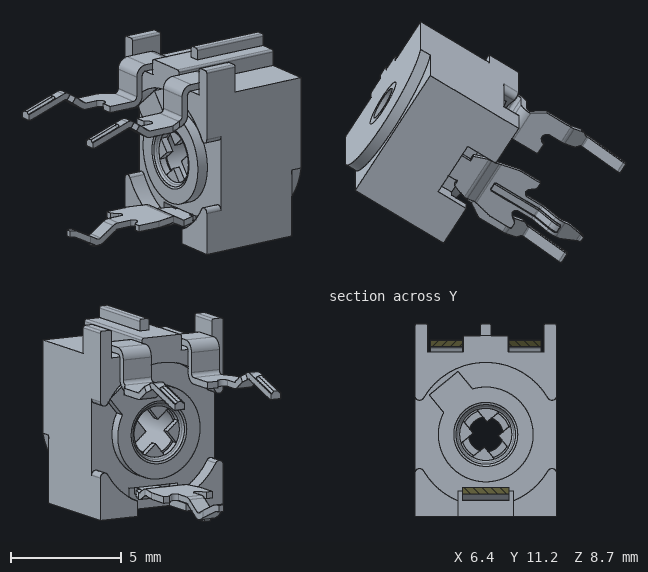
import cadquery as cq
import math


width = 6.4
half_width = width / 2
depth = 5.22
front_y = -depth
floor_z = 7.43
top_z = 8.7
edge_radius = 0.1

ridge_width = 2.05
ridge_top_z = 8.16
rib_width = 0.49
rib_length = 3.65
post_width = 0.59
post_depth = 1.57

axis_z = 3.71
recess_radius = 3.25
recess_depth = 0.78
recess_floor_y = front_y + recess_depth
recess_lip_radius = 0.21
rear_disc_thickness = 0.52
rear_disc_top_z = 3.14

slot_width = 2.52
slot_depth = 1.5
slot_height = 1.16

rotor_radius = 2.14
rotor_thickness = 0.53
countersink_radius = 1.45
countersink_steps = [(1.34, 0.03), (1.27, 0.13), (1.18, 0.2)]
cross_angle = 39.4
cross_arm_width = 0.8
cross_radius = 1.19
pointer_half_width = 0.84
pointer_reach = 2.99

bore_radius = 1.1
contact_hole_radius = 0.77
contact_thickness = rear_disc_thickness

sheet = 0.3
half_sheet = sheet / 2
sharp_bend = 0.17
terminal_bend = 0.34
stiffener_half_width = 0.21
stiffener_height = 0.1
stiffener_side_angle = 45
stiffener_chamfer = 0.06

outer_inner_x = 1.04
outer_strip_x = 2.5
outer_leg_half_width = 0.41
outer_tip_half_width = 0.26
outer_plate_z = 6.19
outer_top_z = 7.81
outer_rear_y = -3.95
outer_drop_y = -5.94
outer_bend = 0.35
outer_peak_bend = 0.22
outer_kink_y = -8.22
outer_rise_angle = 35
outer_peak_y = -9.13
outer_fall_angle = 18
outer_end_y = -11.2
outer_plate_front_y = -7.56
outer_notch_radius = 0.25
outer_flare_start_y = -6.24
outer_flare_end_y = -6.89
outer_taper_start = 0.72
outer_taper_length = 0.24
outer_stiffener_start_y = -9.59

centre_half_width = 1.04
centre_neck_half_width = 0.56
centre_rear_half_width = 0.81
centre_neck_y = -4.3
centre_widening_y = -4.94
shoulder_half_width = 1.27
centre_leg_half_width = 0.39
centre_tip_half_width = 0.12
centre_rear_z = 0.87
centre_plate_z = 1.16
centre_valley_z = 0.55
centre_path = [
    (front_y + slot_depth, centre_rear_z),
    (-5.02, centre_rear_z),
    (-5.53, centre_plate_z),
    (-8.23, centre_plate_z),
    (-9.18, centre_valley_z),
    (-10.38, centre_plate_z),
    (-10.6, centre_plate_z),
]
shoulder_start_y = -5.52
shoulder_end_y = -6.48
shoulder_front_y = -7.59
shoulder_tip_x = 0.95
centre_notch_radius = 0.19
centre_notch_y = -7.44
centre_notch_angle = 37
centre_tip_start_y = -9.65
centre_stiffener_rear_y = -5.82
centre_stiffener_front_y = -9.34


def box(x_range, y_range, z_range):
    (x0, x1), (y0, y1), (z0, z1) = x_range, y_range, z_range
    return cq.Workplane("XY").box(x1 - x0, y1 - y0, z1 - z0, centered=False).translate((x0, y0, z0))


def front_plane(y):
    """Sketch plane facing -Y, centred on the rotor axis; extrude(-d) goes into the part."""
    return cq.Workplane("XZ", origin=(0, y, axis_z))


def polar(radius, angle):
    return radius * math.cos(math.radians(angle)), radius * math.sin(math.radians(angle))


def direction(start, end):
    """Unit vector from one point of a plane to another."""
    length = math.dist(start, end)
    return (end[0] - start[0]) / length, (end[1] - start[1]) / length


def bent_strip(path, radii, upper, lower, strip_width):
    """Strip centred on x = 0 that follows a (y, z) path towards -Y, bent to a radius at each inner corner.

    It fills the space from `lower` to `upper`, both measured across the path.
    """
    first = direction(path[0], path[1])
    stations = [[path[0]]]
    normals = [[(first[1], -first[0])]]
    for before, corner, after, radius in zip(path, path[1:], path[2:], radii):
        d_in = direction(before, corner)
        d_out = direction(corner, after)
        turn = math.atan2(d_in[0] * d_out[1] - d_in[1] * d_out[0], d_in[0] * d_out[0] + d_in[1] * d_out[1])
        setback = radius * math.tan(abs(turn) / 2)
        side = math.copysign(1, -turn)
        start = (corner[0] - setback * d_in[0], corner[1] - setback * d_in[1])
        end = (corner[0] + setback * d_out[0], corner[1] + setback * d_out[1])
        n_in = (d_in[1], -d_in[0])
        n_out = (d_out[1], -d_out[0])
        n_mid = direction((0, 0), (n_in[0] + n_out[0], n_in[1] + n_out[1]))
        centre = (start[0] + side * radius * n_in[0], start[1] + side * radius * n_in[1])
        middle = (centre[0] - side * radius * n_mid[0], centre[1] - side * radius * n_mid[1])
        stations.append([start, middle, end])
        normals.append([n_in, n_mid, n_out])
    last = direction(path[-2], path[-1])
    stations.append([path[-1]])
    normals.append([(last[1], -last[0])])

    def side_points(offset):
        return [
            [(p[0] + offset * n[0], p[1] + offset * n[1]) for p, n in zip(points, point_normals)]
            for points, point_normals in zip(stations, normals)
        ]

    top = side_points(upper)
    bottom = [points[::-1] for points in side_points(lower)[::-1]]
    outline = cq.Workplane("YZ", origin=(-strip_width / 2, 0, 0)).moveTo(*top[0][0])
    for points in top[1:] + bottom:
        outline = outline.lineTo(*points[0])
        if len(points) > 1:
            outline = outline.threePointArc(points[1], points[2])
    return outline.close().extrude(strip_width)


def recess_cutter():
    """Round recess that breaks out at both sides, where the sharp lips are rounded."""
    lip_x = half_width - recess_lip_radius
    lip_z = math.sqrt((recess_radius + recess_lip_radius) ** 2 - lip_x**2)
    scale = recess_radius / (recess_radius + recess_lip_radius)
    touch_x, touch_z = lip_x * scale, lip_z * scale
    touch_angle = math.degrees(math.atan2(-lip_z, -lip_x))
    offset_x, offset_z = polar(recess_lip_radius, touch_angle / 2)
    middle_x, middle_z = lip_x + offset_x, lip_z + offset_z
    return (
        front_plane(front_y)
        .moveTo(half_width, lip_z)
        .threePointArc((middle_x, middle_z), (touch_x, touch_z))
        .threePointArc((0, recess_radius), (-touch_x, touch_z))
        .threePointArc((-middle_x, middle_z), (-half_width, lip_z))
        .lineTo(-half_width, -lip_z)
        .threePointArc((-middle_x, -middle_z), (-touch_x, -touch_z))
        .threePointArc((0, -recess_radius), (touch_x, -touch_z))
        .threePointArc((middle_x, -middle_z), (half_width, -lip_z))
        .close()
        .extrude(-recess_depth)
    )


def make_housing():
    block = box((-half_width, half_width), (front_y, -rear_disc_thickness), (0, floor_z))
    rear_top = box((-half_width, half_width), (-rear_disc_thickness, 0), (rear_disc_top_z, floor_z))
    rear_disc = front_plane(0).circle(recess_radius).extrude(rear_disc_thickness)
    rear_disc = rear_disc.intersect(
        box((-half_width, half_width), (-rear_disc_thickness, 0), (0, floor_z))
    )
    body = block.union(rear_top).union(rear_disc)
    body = body.cut(recess_cutter())
    slot = box((-slot_width / 2, slot_width / 2), (front_y, front_y + slot_depth), (0, slot_height))
    bore = front_plane(0).circle(bore_radius).extrude(depth)
    body = body.cut(slot).cut(bore)

    ridge = box((-ridge_width / 2, ridge_width / 2), (front_y, 0), (floor_z, ridge_top_z))
    body = body.union(ridge.edges("|Y and >Z").fillet(edge_radius))
    rib = box((-rib_width / 2, rib_width / 2), (-rib_length, 0), (ridge_top_z, top_z))
    body = body.union(rib.edges("|Y and >Z").fillet(edge_radius))
    post = box((half_width - post_width, half_width), (front_y, front_y + post_depth), (floor_z, top_z))
    post = post.edges("|Y and >Z").fillet(edge_radius)
    return body.union(post).union(post.mirror("YZ"))


def make_rotor():
    face_y = recess_floor_y - rotor_thickness
    pointer = front_plane(face_y).rect(pointer_reach, 2 * pointer_half_width).extrude(-rotor_thickness)
    pointer = pointer.translate((pointer_reach / 2, 0, 0))
    pointer = pointer.rotate((0, 0, axis_z), (0, -1, axis_z), cross_angle + 90)
    body = front_plane(face_y).circle(rotor_radius).extrude(-rotor_thickness).union(pointer)

    profile = cq.Workplane("XY", origin=(0, face_y, axis_z)).moveTo(0, 0).lineTo(countersink_radius, 0)
    for radius, step_depth in countersink_steps:
        profile = profile.lineTo(radius, step_depth)
    countersink = profile.lineTo(0, countersink_steps[-1][1]).close().revolve(360, (0, 0), (0, 1))
    body = body.cut(countersink)

    arms = front_plane(face_y).rect(2 * cross_radius, cross_arm_width).extrude(-rotor_thickness)
    arms = arms.union(front_plane(face_y).rect(cross_arm_width, 2 * cross_radius).extrude(-rotor_thickness))
    arms = arms.rotate((0, 0, axis_z), (0, -1, axis_z), cross_angle)
    arms = arms.intersect(front_plane(face_y).circle(cross_radius).extrude(-rotor_thickness))
    return body.cut(arms)


def make_contact():
    return front_plane(0).circle(bore_radius).circle(contact_hole_radius).extrude(contact_thickness)


def outer_plan():
    """Outline of the +X terminal seen along Z, extruded up from the underside of its plate."""
    notch_x = outer_strip_x - outer_leg_half_width - outer_notch_radius
    leg_outer_x = outer_strip_x + outer_leg_half_width
    tip_y = outer_peak_y
    return (
        cq.Workplane("XY", origin=(0, 0, outer_plate_z - half_sheet))
        .moveTo(outer_inner_x, 0)
        .lineTo(outer_inner_x, outer_plate_front_y)
        .lineTo(notch_x - outer_notch_radius, outer_plate_front_y)
        .threePointArc(
            (notch_x, outer_plate_front_y + outer_notch_radius),
            (notch_x + outer_notch_radius, outer_plate_front_y),
        )
        .lineTo(outer_strip_x - outer_leg_half_width, tip_y)
        .lineTo(outer_strip_x - outer_tip_half_width, tip_y)
        .lineTo(outer_strip_x - outer_tip_half_width, outer_end_y)
        .lineTo(outer_strip_x + outer_tip_half_width, outer_end_y)
        .lineTo(outer_strip_x + outer_tip_half_width, tip_y)
        .lineTo(leg_outer_x, tip_y)
        .lineTo(leg_outer_x, outer_flare_end_y)
        .lineTo(outer_strip_x, outer_flare_start_y)
        .lineTo(outer_strip_x, 0)
        .close()
        .extrude(top_z)
    )


def make_outer_terminal(side):
    """Outer terminal at +X for side 1, or its mirror image at -X for side -1."""
    rise = math.radians(outer_rise_angle)
    fall = math.radians(outer_fall_angle)
    peak_z = outer_plate_z + (outer_kink_y - outer_peak_y) * math.tan(rise)
    past_end_y = outer_end_y - sheet
    path = [
        (outer_rear_y, floor_z),
        (outer_rear_y, outer_top_z),
        (outer_drop_y, outer_top_z),
        (outer_drop_y, outer_plate_z),
        (outer_kink_y, outer_plate_z),
        (outer_peak_y, peak_z),
        (past_end_y, peak_z - (outer_peak_y - past_end_y) * math.tan(fall)),
    ]
    radii = [outer_bend, outer_bend, outer_bend, sharp_bend, outer_peak_bend]
    body = bent_strip(path, radii, half_sheet, -half_sheet, width)

    ridge_plane = cq.Plane(
        (outer_strip_x, outer_peak_y, peak_z),
        xDir=(1, 0, 0),
        normal=(0, -math.sin(fall), math.cos(fall)),
    )
    ridge_start = -(outer_peak_y - outer_stiffener_start_y) / math.cos(fall)
    ridge_end = -(outer_peak_y - past_end_y) / math.cos(fall)
    stiffener = (
        cq.Workplane(ridge_plane)
        .workplane(offset=half_sheet)
        .moveTo(-stiffener_half_width, ridge_end)
        .lineTo(-stiffener_half_width, ridge_start - stiffener_half_width)
        .threePointArc((0, ridge_start), (stiffener_half_width, ridge_start - stiffener_half_width))
        .lineTo(stiffener_half_width, ridge_end)
        .close()
        .extrude(stiffener_height, taper=stiffener_side_angle)
    )
    body = body.union(stiffener).intersect(outer_plan())

    slope_plane = cq.Plane(
        (outer_strip_x, outer_kink_y, outer_plate_z),
        xDir=(1, 0, 0),
        normal=(0, math.sin(rise), math.cos(rise)),
    )
    taper_end = outer_taper_start + outer_taper_length
    for edge in (-1, 1):
        taper = (
            cq.Workplane(slope_plane)
            .moveTo(edge * outer_leg_half_width, -outer_taper_start)
            .lineTo(edge * outer_tip_half_width, -taper_end)
            .lineTo(edge * outer_tip_half_width, -taper_end - sheet)
            .lineTo(edge * outer_leg_half_width, -taper_end - sheet)
            .close()
            .extrude(sheet, both=True)
        )
        body = body.cut(taper)
    return body if side > 0 else body.mirror("YZ")


def centre_plan():
    """Outline of the centre terminal seen along Z."""
    notch_x = centre_leg_half_width + centre_notch_radius
    arc_dx, arc_dy = polar(centre_notch_radius, centre_notch_angle)
    end_y = centre_path[-1][0]
    half = (
        cq.Workplane("XY")
        .moveTo(0, 0)
        .lineTo(centre_neck_half_width, 0)
        .lineTo(centre_neck_half_width, centre_neck_y)
        .lineTo(centre_rear_half_width, centre_neck_y)
        .lineTo(centre_half_width, centre_widening_y)
        .lineTo(centre_half_width, shoulder_start_y)
        .lineTo(shoulder_half_width, shoulder_end_y)
        .lineTo(shoulder_half_width, shoulder_front_y)
        .lineTo(shoulder_tip_x, shoulder_front_y)
        .lineTo(notch_x + arc_dx, centre_notch_y + arc_dy)
        .threePointArc(
            (notch_x, centre_notch_y + centre_notch_radius), (centre_leg_half_width, centre_notch_y)
        )
        .lineTo(centre_leg_half_width, centre_tip_start_y)
        .lineTo(centre_tip_half_width, end_y)
        .lineTo(0, end_y)
        .close()
        .extrude(floor_z)
    )
    return half.union(half.mirror("YZ"))


def make_centre_terminal():
    radii = [sharp_bend] + [terminal_bend] * 4
    strip = bent_strip(centre_path, radii, half_sheet, -half_sheet, width).intersect(centre_plan())
    stiffener = bent_strip(
        centre_path, radii, 0, -half_sheet - stiffener_height, 2 * stiffener_half_width
    )
    stiffener = stiffener.intersect(
        box((-width, width), (centre_stiffener_front_y, centre_stiffener_rear_y), (0, floor_z))
    )
    stiffener = stiffener.faces("<X or >X").edges().chamfer(stiffener_chamfer)
    return strip.union(stiffener)


housing = make_housing()
rotor = make_rotor()
contact = make_contact()
centre_terminal = make_centre_terminal()
outer_terminals = [make_outer_terminal(side) for side in (-1, 1)]

result = cq.Compound.makeCompound(
    [
        housing.val(),
        rotor.val(),
        contact.val(),
        centre_terminal.val(),
        *[terminal.val() for terminal in outer_terminals],
    ]
)